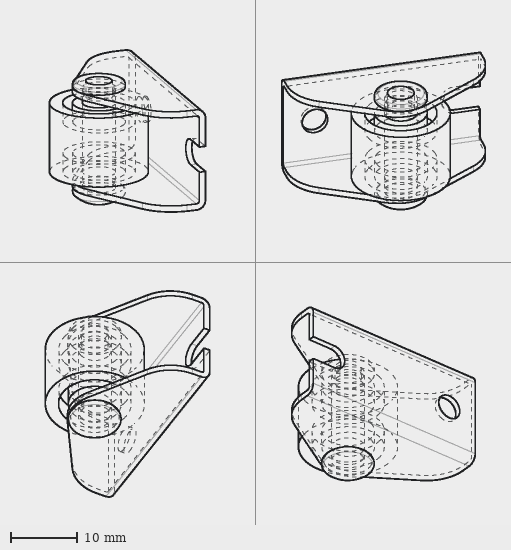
import cadquery as cq
import math

LENGTH = 31.0
HEIGHT = 16.0
SHEET = 1.0
BEND_OUTER_RADIUS = 1.5
BEND_INNER_RADIUS = BEND_OUTER_RADIUS - SHEET
EDGE_LENGTH = 6.9
APEX_REACH = 16.5
SHOULDER_RADIUS = 7.0
TIP_RADIUS = 6.0

MOUNT_WIDTH = 4.0
MOUNT_HOLE_X = -10.5
SLOT_CENTRE_X = 11.5

WHEEL_RADIUS = 7.5
WHEEL_WIDTH = 11.0
AXIS_Y = -11.53
RECESS_OUTER_RADIUS = 5.5
HUB_RADIUS = 4.0
RECESS_DEPTH = 3.0

PIN_RADIUS = 2.5
HEAD_RADIUS = 4.0
FLAT_HEAD_HEIGHT = 1.0
FLAT_HEAD_FILLET = 0.5
BORE_RADIUS = 2.0
BORE_DEPTH = 2.5
DOME_HEAD_HEIGHT = 2.5
DOME_SEAT_RADIUS = 3.7
DOME_WIDEST_DEPTH = 0.55
DOME_EDGE_RADIUS = 3.85
DOME_EDGE_DEPTH = 1.0

TOP = HEIGHT / 2
BOTTOM = -HEIGHT / 2


def axle_cylinder(radius, bottom, height):
    """Cylinder on the wheel axis, rising from the given Z level."""
    return cq.Workplane("XY", origin=(0, AXIS_Y, bottom)).circle(radius).extrude(height)


def make_bent_sheet():
    outer = (
        cq.Workplane("XY")
        .box(LENGTH, APEX_REACH, HEIGHT, centered=(True, False, True))
        .translate((0, -APEX_REACH, 0))
        .edges("|X and >Y")
        .fillet(BEND_OUTER_RADIUS)
    )
    inner = (
        cq.Workplane("XY")
        .box(LENGTH, APEX_REACH, HEIGHT - 2 * SHEET, centered=(True, False, True))
        .translate((0, -APEX_REACH - SHEET, 0))
        .edges("|X and >Y")
        .fillet(BEND_INNER_RADIUS)
    )
    return outer.cut(inner)


def make_flange_outline():
    """Solid with the flange's rounded triangular outline over the full height."""
    half = LENGTH / 2
    return (
        cq.Workplane("XY", origin=(0, 0, BOTTOM))
        .polyline([(-half, 0), (half, 0), (half, -EDGE_LENGTH), (0, -APEX_REACH), (-half, -EDGE_LENGTH)])
        .close()
        .extrude(HEIGHT)
        .edges("|Z and (<X or >X) and (not >Y)")
        .fillet(SHOULDER_RADIUS)
        .edges("|Z and <Y")
        .fillet(TIP_RADIUS)
    )


def make_mount_openings():
    """Round hole at -X and a slot open at the +X end."""
    hole_and_slot_end = (
        cq.Workplane("XZ")
        .pushPoints([(MOUNT_HOLE_X, 0), (SLOT_CENTRE_X, 0)])
        .circle(MOUNT_WIDTH / 2)
        .extrude(SHEET)
    )
    slot_length = LENGTH / 2 - SLOT_CENTRE_X
    slot_mouth = (
        cq.Workplane("XZ")
        .center(SLOT_CENTRE_X + slot_length / 2, 0)
        .rect(slot_length, MOUNT_WIDTH)
        .extrude(SHEET)
    )
    return hole_and_slot_end.union(slot_mouth)


def make_bracket():
    sheet = make_bent_sheet().intersect(make_flange_outline())
    return sheet.cut(make_mount_openings()).cut(axle_cylinder(PIN_RADIUS, BOTTOM, HEIGHT))


def make_wheel():
    """Roller with the pin bore and a ring-shaped recess in each end face."""
    lower_face = -WHEEL_WIDTH / 2
    upper_floor = WHEEL_WIDTH / 2 - RECESS_DEPTH
    wheel = axle_cylinder(WHEEL_RADIUS, lower_face, WHEEL_WIDTH)
    for recess_bottom in (lower_face, upper_floor):
        recess = axle_cylinder(RECESS_OUTER_RADIUS, recess_bottom, RECESS_DEPTH)
        hub = axle_cylinder(HUB_RADIUS, recess_bottom, RECESS_DEPTH)
        wheel = wheel.cut(recess.cut(hub))
    return wheel.cut(axle_cylinder(PIN_RADIUS, lower_face, WHEEL_WIDTH))


def make_pin():
    """Revolved rivet: domed head below, shank, and a bored flat head above."""
    head_top = TOP + FLAT_HEAD_HEIGHT
    fillet_centre_r = HEAD_RADIUS - FLAT_HEAD_FILLET
    fillet_centre_z = head_top - FLAT_HEAD_FILLET
    fillet_middle = FLAT_HEAD_FILLET * math.sqrt(0.5)

    dome_rise = DOME_HEAD_HEIGHT - DOME_EDGE_DEPTH
    sphere_radius = (DOME_EDGE_RADIUS**2 + dome_rise**2) / (2 * dome_rise)
    crown_z = BOTTOM - DOME_HEAD_HEIGHT
    middle_r = DOME_EDGE_RADIUS / 2
    middle_z = crown_z + sphere_radius - math.sqrt(sphere_radius**2 - middle_r**2)

    profile = (
        cq.Workplane("XZ")
        .moveTo(0, crown_z)
        .threePointArc((middle_r, middle_z), (DOME_EDGE_RADIUS, BOTTOM - DOME_EDGE_DEPTH))
        .threePointArc((HEAD_RADIUS, BOTTOM - DOME_WIDEST_DEPTH), (DOME_SEAT_RADIUS, BOTTOM))
        .lineTo(PIN_RADIUS, BOTTOM)
        .lineTo(PIN_RADIUS, TOP)
        .lineTo(HEAD_RADIUS, TOP)
        .lineTo(HEAD_RADIUS, fillet_centre_z)
        .threePointArc(
            (fillet_centre_r + fillet_middle, fillet_centre_z + fillet_middle),
            (fillet_centre_r, head_top),
        )
        .lineTo(BORE_RADIUS, head_top)
        .lineTo(BORE_RADIUS, head_top - BORE_DEPTH)
        .lineTo(0, head_top - BORE_DEPTH)
        .close()
    )
    return profile.revolve(360, (0, 0, 0), (0, 1, 0)).translate((0, AXIS_Y, 0))


bracket = make_bracket().solids()
wheel = make_wheel().solids()
pin = make_pin()

result = cq.Compound.makeCompound([bracket.val(), wheel.val(), pin.val()])